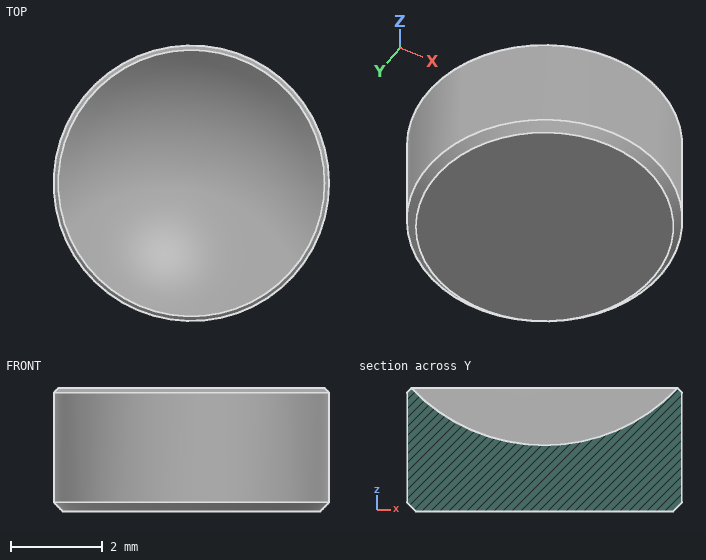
import cadquery as cq
import math

diameter = 6.0
height = 2.69
top_chamfer = 0.1
bottom_chamfer = 0.2

dish_sphere_radius = 4.0

radius = diameter / 2
rim_radius = radius - top_chamfer
sphere_center_z = height + math.sqrt(dish_sphere_radius**2 - rim_radius**2)

body = cq.Workplane("XY").circle(radius).extrude(height)
body = body.faces(">Z").chamfer(top_chamfer)
body = body.faces("<Z").chamfer(bottom_chamfer)

dish_bottom_z = sphere_center_z - dish_sphere_radius
mid_angle = math.asin(rim_radius / dish_sphere_radius) / 2
arc_middle = (
    dish_sphere_radius * math.sin(mid_angle),
    sphere_center_z - dish_sphere_radius * math.cos(mid_angle),
)
dish = (
    cq.Workplane("XZ")
    .moveTo(0, dish_bottom_z)
    .threePointArc(arc_middle, (rim_radius, height))
    .lineTo(0, height)
    .close()
    .revolve(360, (0, 0, 0), (0, 1, 0))
)

result = body.cut(dish)